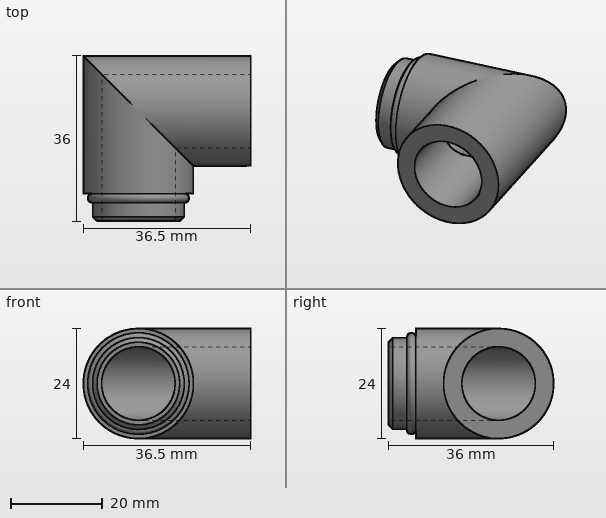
import cadquery as cq

body_diameter = 24.0
bore_diameter = 16.0
y_leg_length = 18.0
x_leg_length = 24.5

spigot_diameter = 20.0
spigot_length = 6.0
spigot_chamfer = 1.0

ring_section_diameter = 2.0
ring_outer_diameter = 22.1

spigot_end_y = -(y_leg_length + spigot_length)


def rod_along_x(diameter, start, end):
    """Solid cylinder on the X axis between two X positions."""
    return cq.Workplane("YZ", origin=(start, 0, 0)).circle(diameter / 2).extrude(end - start)


def rod_along_y(diameter, start, end):
    """Solid cylinder on the Y axis between two Y positions, start being the higher one."""
    return cq.Workplane("XZ", origin=(0, start, 0)).circle(diameter / 2).extrude(start - end)


def mitred_elbow(diameter, x_end, y_end):
    """Two equal rods, each cut at the 45 degree plane y = -x, joined at that plane."""
    radius = diameter / 2
    x_side = (
        cq.Workplane("XY", origin=(0, 0, -radius))
        .polyline([(-radius, radius), (x_end, radius), (x_end, -radius), (radius, -radius)])
        .close()
        .extrude(diameter)
    )
    y_side = (
        cq.Workplane("XY", origin=(0, 0, -radius))
        .polyline([(-radius, radius), (radius, -radius), (radius, y_end), (-radius, y_end)])
        .close()
        .extrude(diameter)
    )
    x_leg = rod_along_x(diameter, -radius, x_end).intersect(x_side)
    y_leg = rod_along_y(diameter, radius, y_end).intersect(y_side)
    return x_leg.union(y_leg)


def spigot():
    """Spigot with a chamfered free end."""
    return (
        rod_along_y(spigot_diameter, -y_leg_length, spigot_end_y)
        .faces("<Y")
        .chamfer(spigot_chamfer)
    )


def sealing_ring():
    """Ring with a half-round crest around the spigot, lying against the shoulder."""
    section_radius = ring_section_diameter / 2
    centre_radius = ring_outer_diameter / 2 - section_radius
    centre_y = -y_leg_length - section_radius
    return (
        cq.Workplane("XY")
        .moveTo(bore_diameter / 2, -y_leg_length)
        .lineTo(centre_radius, -y_leg_length)
        .threePointArc((ring_outer_diameter / 2, centre_y), (centre_radius, centre_y - section_radius))
        .lineTo(bore_diameter / 2, centre_y - section_radius)
        .close()
        .revolve(360, (0, 0), (0, 1))
    )


outside = mitred_elbow(body_diameter, x_leg_length, -y_leg_length).union(spigot()).union(sealing_ring())
bore = mitred_elbow(bore_diameter, x_leg_length, spigot_end_y)

result = outside.cut(bore)